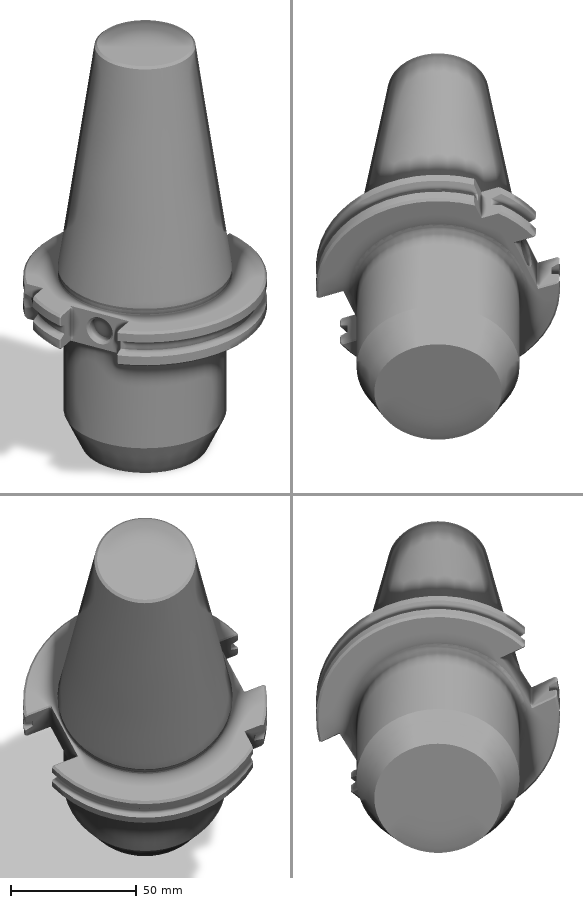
import cadquery as cq
import math

total_length = 181.8
gauge_z = 80.0
taper_slope = 7 / 48

gauge_radius = 34.9
taper_length = total_length - gauge_z
taper_end_radius = gauge_radius - taper_slope * taper_length
taper_end_chamfer = 0.9

relief_depth = 0.27
relief_upper_height = 1.0
relief_lower_height = 0.5

flange_radius = 48.7
gauge_to_flange = 3.3
flange_top_z = gauge_z - gauge_to_flange
flange_thickness = 15.8
flange_bottom_z = flange_top_z - flange_thickness
flange_chamfer = 0.9

flange_top_to_groove = 7.8
groove_z = flange_top_z - flange_top_to_groove
groove_depth = 3.3
groove_floor_width = 3.8
groove_mouth_width = 6.5

body_radius = 32.5
body_fillet = 2.9
nose_height = 15.0
nose_radius = 25.5

slot_width = 25.6
slot_edge_break = 0.5
front_slot_y = 37.6
rear_slot_y = 35.5
notch_offset = 30.0
hole_diameter = 10.2
hole_depth = 4.5
countersink_diameter = 12.0


def turned_blank():
    """Nose, body, plain flange and taper turned as one profile."""
    relief_radius = gauge_radius - relief_depth
    fillet_center_r = body_radius + body_fillet
    fillet_center_z = flange_bottom_z - body_fillet
    fillet_mid = (
        fillet_center_r - body_fillet * math.sqrt(0.5),
        fillet_center_z + body_fillet * math.sqrt(0.5),
    )
    return (
        cq.Workplane("XZ")
        .moveTo(0, 0)
        .lineTo(nose_radius, 0)
        .lineTo(body_radius, nose_height)
        .lineTo(body_radius, fillet_center_z)
        .threePointArc(fillet_mid, (fillet_center_r, flange_bottom_z))
        .lineTo(flange_radius - flange_chamfer, flange_bottom_z)
        .lineTo(flange_radius, flange_bottom_z + flange_chamfer)
        .lineTo(flange_radius, flange_top_z - flange_chamfer)
        .lineTo(flange_radius - flange_chamfer, flange_top_z)
        .lineTo(gauge_radius, flange_top_z)
        .lineTo(relief_radius, flange_top_z + relief_lower_height)
        .lineTo(relief_radius, gauge_z - relief_upper_height)
        .lineTo(gauge_radius, gauge_z)
        .lineTo(taper_end_radius + taper_slope * taper_end_chamfer, total_length - taper_end_chamfer)
        .lineTo(taper_end_radius - taper_end_chamfer, total_length)
        .lineTo(0, total_length)
        .close()
        .revolve(360, (0, 0), (0, 1))
    )


def drive_slot(floor_y, side):
    """Slot cutter across the flange, side = -1 for -Y and +1 for +Y."""
    length = flange_radius - floor_y
    return (
        cq.Workplane("XY")
        .box(slot_width, length, flange_thickness, centered=(True, True, False))
        .translate((0, side * (floor_y + length / 2), flange_bottom_z))
    )


def break_slot_edges(part):
    """Bevel the outward rims of the four slot walls, then fill their inner corners with a bevel."""
    wall_x = slot_width / 2
    tolerance = 0.02

    def wall_edges(solid, at_floor):
        found = []
        for edge in solid.edges().vals():
            box = edge.BoundingBox()
            reach = abs(box.center.y)
            floor_y = front_slot_y if box.center.y < 0 else rear_slot_y
            in_wall = box.xlen < tolerance and abs(abs(box.center.x) - wall_x) < tolerance
            is_corner = abs(reach - floor_y) < tolerance
            if in_wall and reach > floor_y - tolerance and is_corner == at_floor:
                found.append(edge)
        return solid.newObject(found)

    rimmed = wall_edges(part, at_floor=False).chamfer(slot_edge_break)
    return wall_edges(rimmed, at_floor=True).chamfer(slot_edge_break)


def v_groove():
    """Ring cutter for the V-groove around the flange rim."""
    floor_radius = flange_radius - groove_depth
    flank_run = (groove_mouth_width - groove_floor_width) / 2
    outer_radius = flange_radius + groove_depth
    outer_half_width = groove_mouth_width / 2 + flank_run
    return (
        cq.Workplane("XZ")
        .moveTo(floor_radius, groove_z - groove_floor_width / 2)
        .lineTo(outer_radius, groove_z - outer_half_width)
        .lineTo(outer_radius, groove_z + outer_half_width)
        .lineTo(floor_radius, groove_z + groove_floor_width / 2)
        .close()
        .revolve(360, (0, 0), (0, 1))
    )


def orientation_notch():
    """Square corner cut through the flange on the -X -Y side."""
    return (
        cq.Workplane("XY", origin=(-notch_offset, -notch_offset, flange_bottom_z))
        .rect(-flange_radius, -flange_radius, centered=False)
        .extrude(flange_thickness)
    )


def slot_floor_hole():
    """Countersunk blind hole in the floor of the -Y slot."""
    countersink_depth = (countersink_diameter - hole_diameter) / 2
    floor = cq.Workplane("XZ", origin=(0, -front_slot_y, groove_z))
    drill = floor.circle(hole_diameter / 2).extrude(-hole_depth)
    countersink = (
        floor.circle(countersink_diameter / 2)
        .workplane(offset=-countersink_depth)
        .circle(hole_diameter / 2)
        .loft()
    )
    return drill.union(countersink)


slotted = turned_blank().cut(drive_slot(front_slot_y, -1)).cut(drive_slot(rear_slot_y, 1))

result = (
    break_slot_edges(slotted)
    .cut(v_groove())
    .cut(orientation_notch())
    .cut(slot_floor_hole())
)